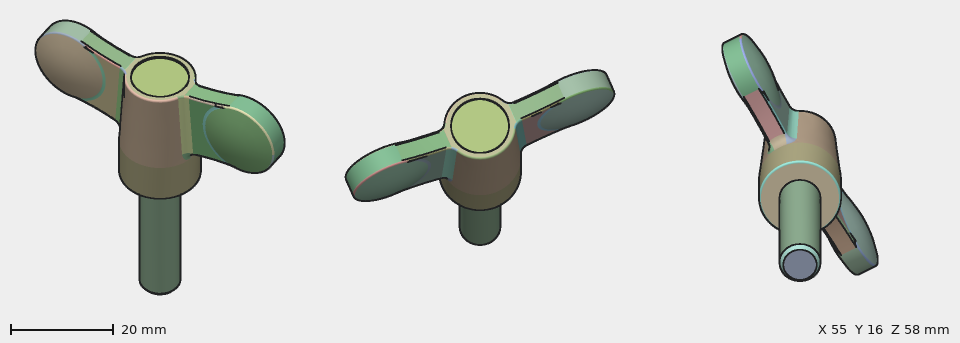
import cadquery as cq
import math

hub_radius = 8.0
hub_top_radius = 6.95
hub_straight_height = 8.5
hub_height = 25.4
edge_radius = 0.4

cap_diameter = 11.25
cap_bore_diameter = 11.3
cap_recess = 0.4
cap_groove_depth = 1.0

pin_radius = 4.0
pin_length = 30.0
pin_root_height = 10.0
pin_tip_radius = 3.24
pin_tip_length = 1.0

disc_radius = 8.0
disc_center_x = 19.5
disc_center_z = 20.0
dome_thickness = 7.0
web_thickness = 4.2
web_top_start_offset = 2.5
web_top_end_x = 6.8
web_top_blend_radius = 0.5
web_bottom_radius = 38.0
web_root_x = 5.0
web_hub_fillet = 2.0
dome_web_fillet = 2.0

blank_height = 32.0
trim_depth = 2 * hub_radius

selection_margin = 0.1

half_web = web_thickness / 2
hub_taper = (hub_radius - hub_top_radius) / (hub_height - hub_straight_height)
dome_rise = dome_thickness / 2 - half_web
dome_sphere_radius = (disc_radius**2 + dome_rise**2) / (2 * dome_rise)
dome_sphere_offset = dome_thickness / 2 - dome_sphere_radius

web_top_start = (
    disc_center_x - web_top_start_offset,
    disc_center_z + math.sqrt(disc_radius**2 - web_top_start_offset**2),
)
web_bottom_start = (disc_center_x, disc_center_z - disc_radius)

web_top_end = (web_top_end_x, hub_height)
web_bottom_run = disc_center_x - web_root_x
web_bottom_drop = web_bottom_radius - math.sqrt(web_bottom_radius**2 - web_bottom_run**2)
web_bottom_end = (web_root_x, web_bottom_start[1] - web_bottom_drop)

chord_x = web_top_start[0] - web_top_end[0]
chord_z = web_top_start[1] - web_top_end[1]
start_rise = web_top_start[1] - disc_center_z
chord_squared = chord_x**2 + chord_z**2
chord_offset = (chord_z * start_rise - chord_x * web_top_start_offset) / disc_radius
web_top_radius = chord_squared / (2 * abs(chord_offset))


def both_sides(wing_shape):
    """A +X wing shape together with its mirror image on the -X side."""
    return wing_shape.union(wing_shape.mirror("YZ"))


def make_hub_blank():
    """Straight collar with a slightly tapered upper body, left overlong at the top."""
    blank_top_radius = hub_radius - hub_taper * (blank_height - hub_straight_height)
    return (
        cq.Workplane("YZ")
        .lineTo(hub_radius, 0)
        .lineTo(hub_radius, hub_straight_height)
        .lineTo(blank_top_radius, blank_height)
        .lineTo(0, blank_height)
        .close()
        .revolve(360, (0, 0, 0), (0, 1, 0))
        .faces("<Z")
        .edges()
        .fillet(edge_radius)
    )


def make_web_blank():
    """Flat web of the +X wing with rounded lower edges, left overlong at the top."""
    blank = (
        cq.Workplane("XZ")
        .moveTo(*web_bottom_end)
        .radiusArc(web_bottom_start, web_bottom_radius)
        .lineTo(disc_center_x, blank_height)
        .lineTo(web_root_x, blank_height)
        .close()
        .extrude(half_web, both=True)
    )
    lower_face = blank.faces(cq.selectors.NearestToPointSelector((disc_center_x / 2, 0, 0)))
    return lower_face.edges("not |Y").fillet(edge_radius)


def make_trim():
    """Everything above the +X half of the hub top and upper web edge."""
    corner = cq.selectors.NearestToPointSelector((web_top_end[0], 0, web_top_end[1]))
    return (
        cq.Workplane("XZ")
        .moveTo(0, hub_height)
        .lineTo(*web_top_end)
        .radiusArc(web_top_start, -web_top_radius)
        .lineTo(disc_center_x, web_top_start[1])
        .lineTo(disc_center_x, blank_height)
        .lineTo(0, blank_height)
        .close()
        .extrude(trim_depth, both=True)
        .edges("|Y")
        .edges(corner)
        .fillet(web_top_blend_radius)
    )


def make_body():
    """Hub and webs, filleted together and rounded along the whole upper outline."""
    body = make_hub_blank().union(both_sides(make_web_blank()))
    seam_box = cq.selectors.BoxSelector(
        (-hub_radius, -half_web - selection_margin, hub_straight_height),
        (hub_radius, half_web + selection_margin, hub_height),
    )
    body = body.edges(seam_box).edges("%BSPLINE or %HYPERBOLA").fillet(web_hub_fillet)
    body = body.cut(both_sides(make_trim()))
    top_box = cq.selectors.BoxSelector(
        (-web_top_start[0], -hub_radius, hub_height - edge_radius),
        (web_top_start[0], hub_radius, blank_height),
    )
    return body.edges(top_box).edges("not |Y").fillet(edge_radius)


def make_disc():
    """Domed disc of the +X wing with a rounded rim."""
    half_disc = (
        cq.Workplane("XY")
        .lineTo(disc_radius, 0)
        .lineTo(disc_radius, half_web)
        .radiusArc((0, dome_thickness / 2), -dome_sphere_radius)
        .close()
        .revolve(360, (0, 0, 0), (0, 1, 0))
        .faces("%CYLINDER")
        .edges(">Y")
        .fillet(edge_radius)
        .translate((disc_center_x, 0, disc_center_z))
    )
    return half_disc.union(half_disc.mirror("XZ"))


def make_dome_fillets():
    """Concave blends between the domes and the flat faces of the +X web."""
    center_y = half_web + dome_web_fillet
    center_distance = dome_sphere_radius + dome_web_fillet
    outer_radius = math.sqrt(center_distance**2 - (center_y - dome_sphere_offset)**2)
    sphere_share = dome_sphere_radius / center_distance
    inner_radius = outer_radius * sphere_share
    inner_y = dome_sphere_offset + (center_y - dome_sphere_offset) * sphere_share
    ring = (
        cq.Workplane("XY")
        .moveTo(inner_radius, 0)
        .lineTo(outer_radius, 0)
        .lineTo(outer_radius, half_web)
        .radiusArc((inner_radius, inner_y), dome_web_fillet)
        .close()
        .revolve(360, (0, 0, 0), (0, 1, 0))
        .translate((disc_center_x, 0, disc_center_z))
    )
    web_face = (
        cq.Workplane("XZ")
        .moveTo(*web_bottom_end)
        .radiusArc(web_bottom_start, web_bottom_radius)
        .lineTo(*web_top_start)
        .radiusArc(web_top_end, web_top_radius)
        .close()
        .offset2D(-edge_radius)
        .extrude(dome_thickness, both=True)
    )
    half_ring = ring.intersect(web_face)
    return half_ring.union(half_ring.mirror("XZ"))


def make_pin():
    """Round pin below the hub with a tapered tip."""
    return (
        cq.Workplane("XZ")
        .moveTo(0, pin_root_height)
        .lineTo(pin_radius, pin_root_height)
        .lineTo(pin_radius, pin_tip_length - pin_length)
        .lineTo(pin_tip_radius, -pin_length)
        .lineTo(0, -pin_length)
        .close()
        .revolve(360, (0, 0, 0), (0, 1, 0))
    )


def make_cap_gap():
    """Shallow recess above the cap and the hairline ring between cap and bore."""
    bore = (
        cq.Workplane("XY")
        .workplane(offset=hub_height)
        .circle(cap_bore_diameter / 2)
        .extrude(-cap_groove_depth)
    )
    cap = (
        cq.Workplane("XY")
        .workplane(offset=hub_height - cap_recess)
        .circle(cap_diameter / 2)
        .extrude(cap_recess - cap_groove_depth)
    )
    return bore.cut(cap)


wing_end = make_disc().union(make_dome_fillets())
result = (
    make_body()
    .union(both_sides(wing_end))
    .union(make_pin())
    .cut(make_cap_gap())
)